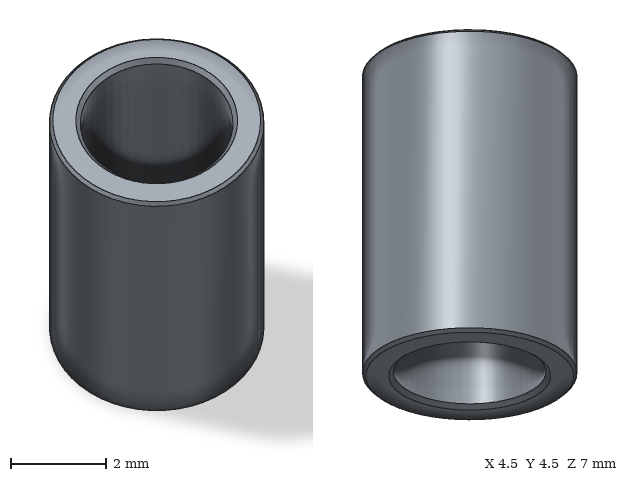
import cadquery as cq

length = 7.0
outer_diameter = 4.5
bore_diameter = 3.2
outer_chamfer = 0.07
bore_chamfer = 0.1

tube = (
    cq.Workplane("XY")
    .workplane(offset=-length / 2)
    .circle(outer_diameter / 2)
    .circle(bore_diameter / 2)
    .extrude(length)
)

largest_circles = cq.selectors.RadiusNthSelector(-1)
smallest_circles = cq.selectors.RadiusNthSelector(0)
outer_rims_chamfered = tube.edges("%CIRCLE").edges(largest_circles).chamfer(outer_chamfer)
result = outer_rims_chamfered.edges("%CIRCLE").edges(smallest_circles).chamfer(bore_chamfer)